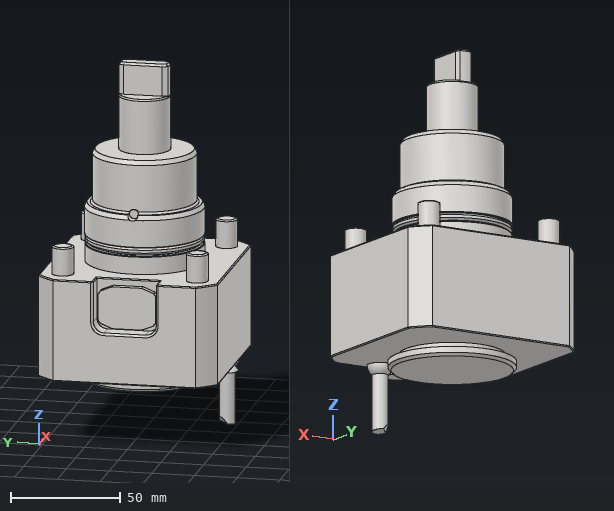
import cadquery as cq
import math

HOUSING_X = 90.0
HOUSING_Y = 84.0
HOUSING_Z = 48.0
CORNER_RADIUS = 56.0
EDGE_CHAMFER = 0.5

POCKET_WIDTH = 29.5
POCKET_FLOOR_Z = 24.0
POCKET_DEPTH = 8.7
POCKET_RADIUS = 5.0
POCKET_RIM_CHAMFER = 1.0

PAD_CENTER_Z = 34.9
PAD_THICKNESS = 3.1
PAD_HALF_WIDTH = 26.9 / 2
PAD_HALF_HEIGHT = 9.9
PAD_TOP_HALF_WIDTH = 7.0
PAD_SIDE_HALF_HEIGHT = 6.2
PAD_SHOULDER_Y = 12.5
PAD_SHOULDER_Z = 7.6

PIN_DIAMETER = 10.0
PIN_HEIGHT = 13.2
PIN_SPACING_X = 64.9
PIN_SPACING_Y = 63.0
PIN_CHAMFER_HEIGHT = 0.5
PIN_CHAMFER_RADIAL = 1.0

NECK_RADIUS = 50.0 / 2
LOWER_COLLAR_RADIUS = 55.0 / 2
LOWER_COLLAR_TOP = 56.5
COLLAR_EDGE_CHAMFER = 0.3
RING_RADIUS = LOWER_COLLAR_RADIUS
RING_BOTTOM = 57.0
RING_TOP = 60.5
RING_CHAMFER = 1.0
UPPER_COLLAR_RADIUS = 55.3 / 2
UPPER_COLLAR_BOTTOM = RING_TOP
UPPER_COLLAR_TOP = 75.6
UPPER_COLLAR_CHAMFER_HEIGHT = 2.0
UPPER_COLLAR_CHAMFER_RADIAL = 1.2
DRUM_RADIUS = 48.0 / 2
DRUM_FLARE_TOP = 76.7
DRUM_TOP = 100.8
DRUM_CHAMFER_HEIGHT = 2.0
DRUM_CHAMFER_RADIAL = 1.2
SHAFT_RADIUS = 24.0 / 2
SHAFT_TOP = 126.8
SHAFT_CHAMFER_HEIGHT = 0.9
SHAFT_CHAMFER_RADIAL = 0.3

INDEX_HOLE_DIAMETER = 4.5
INDEX_HOLE_Z = 75.5
INDEX_HOLE_END_RADIUS = 23.0

BLADE_THICKNESS = 8.0
BLADE_END_RADIUS = 11.8
BLADE_TOP = 141.7
BLADE_FLAT_HALF_LENGTH = 9.0
BLADE_CORNER_X = 1.0
BLADE_CORNER_Y = 2.5
BLADE_TOP_CHAMFER = 1.0

FLANGE_NECK_RADIUS = 49.0 / 2
FLANGE_RADIUS = 59.0 / 2
FLANGE_TOP = -3.1
FLANGE_BOTTOM = -7.3
FLANGE_CHAMFER = 1.4

CABLE_X = 17.0
CABLE_Y = -35.0
CABLE_RADIUS = 7.5 / 2
CABLE_BOTTOM = -31.8
CABLE_END_SLOPE = 0.15
CABLE_CUT_OFFSET = 2.0
CABLE_CUT_Z = -31.0
CABLE_CUT_SLOPE = 1.7
GROMMET_DIAMETER = 12.0

SCREW_X = 7.0
SCREW_NECK_RADIUS = 7.0 / 2
SCREW_HEAD_RADIUS = 12.0 / 2
SCREW_OVERHANG = 0.5
SCREW_Y = SCREW_HEAD_RADIUS - SCREW_OVERHANG - HOUSING_Y / 2
SCREW_NECK_BOTTOM = -0.7
SCREW_BOTTOM = -4.0

POCKET_OVERRUN = 3.5
OVERLAP = 1.7
TRIM_SIZE = 34.7


def turned(*profile):
    """Solid of revolution about Z from (radius, z) points, closed along the axis."""
    bottom = (0, profile[0][1])
    top = (0, profile[-1][1])
    outline = cq.Workplane("XZ").polyline([bottom, *profile, top]).close()
    return outline.revolve(360, (0, 0, 0), (0, 1, 0))


def make_housing():
    block = cq.Workplane("XY").box(HOUSING_X, HOUSING_Y, HOUSING_Z, centered=(True, True, False))
    corners = cq.Workplane("XY").circle(CORNER_RADIUS).extrude(HOUSING_Z)
    return block.intersect(corners).faces("<Z").chamfer(EDGE_CHAMFER)


def pocket_outline(growth):
    """Round-bottomed pocket outline on the -X face, grown outwards and open past the housing top."""
    bottom_z = POCKET_FLOOR_Z - growth
    half_width = POCKET_WIDTH / 2 + growth
    radius = POCKET_RADIUS + growth
    top_z = HOUSING_Z + POCKET_OVERRUN
    return (
        cq.Workplane("YZ", origin=(-HOUSING_X / 2, 0, 0))
        .moveTo(-half_width, top_z)
        .lineTo(-half_width, bottom_z + radius)
        .radiusArc((-half_width + radius, bottom_z), -radius)
        .lineTo(half_width - radius, bottom_z)
        .radiusArc((half_width, bottom_z + radius), -radius)
        .lineTo(half_width, top_z)
        .close()
    )


def cut_pocket(housing):
    housing = housing.cut(pocket_outline(0).extrude(POCKET_DEPTH))
    housing = housing.faces(">Z").chamfer(EDGE_CHAMFER)
    rim = pocket_outline(POCKET_RIM_CHAMFER).extrude(POCKET_RIM_CHAMFER, taper=45)
    return housing.cut(rim)


def make_pad():
    quarter = [
        (PAD_TOP_HALF_WIDTH, PAD_HALF_HEIGHT),
        (PAD_SHOULDER_Y, PAD_SHOULDER_Z),
        (PAD_HALF_WIDTH, PAD_SIDE_HALF_HEIGHT),
    ]
    right = quarter + [(y, -z) for y, z in reversed(quarter)]
    left = [(-y, -z) for y, z in right]
    back_x = -HOUSING_X / 2 + POCKET_DEPTH
    pad = cq.Workplane("YZ").polyline(right + left).close().extrude(PAD_THICKNESS + OVERLAP)
    return pad.translate((back_x - PAD_THICKNESS, 0, PAD_CENTER_Z))


def make_pins():
    z_top = HOUSING_Z + PIN_HEIGHT
    radius = PIN_DIAMETER / 2
    pin = turned(
        (radius, HOUSING_Z - OVERLAP),
        (radius, z_top - PIN_CHAMFER_HEIGHT),
        (radius - PIN_CHAMFER_RADIAL, z_top),
    )
    pins = cq.Workplane("XY")
    for side_x in (-1, 1):
        for side_y in (-1, 1):
            pins = pins.add(pin.translate((side_x * PIN_SPACING_X / 2, side_y * PIN_SPACING_Y / 2, 0)))
    return pins.combine()


def make_stack():
    """Collars, ring, drum and shaft above the housing as one turned body."""
    stack = turned(
        (LOWER_COLLAR_RADIUS, HOUSING_Z - OVERLAP),
        (LOWER_COLLAR_RADIUS, LOWER_COLLAR_TOP - COLLAR_EDGE_CHAMFER),
        (LOWER_COLLAR_RADIUS - COLLAR_EDGE_CHAMFER, LOWER_COLLAR_TOP),
        (NECK_RADIUS, LOWER_COLLAR_TOP),
        (NECK_RADIUS, RING_BOTTOM),
        (RING_RADIUS - RING_CHAMFER, RING_BOTTOM),
        (RING_RADIUS, RING_BOTTOM + RING_CHAMFER),
        (RING_RADIUS, RING_TOP - RING_CHAMFER),
        (RING_RADIUS - RING_CHAMFER, RING_TOP),
        (UPPER_COLLAR_RADIUS - COLLAR_EDGE_CHAMFER, UPPER_COLLAR_BOTTOM),
        (UPPER_COLLAR_RADIUS, UPPER_COLLAR_BOTTOM + COLLAR_EDGE_CHAMFER),
        (UPPER_COLLAR_RADIUS, UPPER_COLLAR_TOP - UPPER_COLLAR_CHAMFER_HEIGHT),
        (UPPER_COLLAR_RADIUS - UPPER_COLLAR_CHAMFER_RADIAL, UPPER_COLLAR_TOP),
        (NECK_RADIUS, UPPER_COLLAR_TOP),
        (DRUM_RADIUS, DRUM_FLARE_TOP),
        (DRUM_RADIUS, DRUM_TOP - DRUM_CHAMFER_HEIGHT),
        (DRUM_RADIUS - DRUM_CHAMFER_RADIAL, DRUM_TOP),
        (SHAFT_RADIUS, DRUM_TOP),
        (SHAFT_RADIUS, SHAFT_TOP - SHAFT_CHAMFER_HEIGHT),
        (SHAFT_RADIUS - SHAFT_CHAMFER_RADIAL, SHAFT_TOP),
    )
    index_hole = (
        cq.Workplane("YZ", origin=(-INDEX_HOLE_END_RADIUS, 0, INDEX_HOLE_Z))
        .circle(INDEX_HOLE_DIAMETER / 2)
        .extrude(-UPPER_COLLAR_RADIUS)
    )
    return stack.cut(index_hole)


def make_blade():
    """Flat blade with bevelled corners, round ends and a bevelled top."""
    half = BLADE_THICKNESS / 2
    bottom = SHAFT_TOP - OVERLAP
    end_y = BLADE_FLAT_HALF_LENGTH + BLADE_CORNER_Y
    end_x = half - BLADE_CORNER_X
    blade = (
        cq.Workplane("XY", origin=(0, 0, bottom))
        .moveTo(half, -BLADE_FLAT_HALF_LENGTH)
        .lineTo(half, BLADE_FLAT_HALF_LENGTH)
        .lineTo(end_x, end_y)
        .threePointArc((0, BLADE_END_RADIUS), (-end_x, end_y))
        .lineTo(-half, BLADE_FLAT_HALF_LENGTH)
        .lineTo(-half, -BLADE_FLAT_HALF_LENGTH)
        .lineTo(-end_x, -end_y)
        .threePointArc((0, -BLADE_END_RADIUS), (end_x, -end_y))
        .close()
        .extrude(BLADE_TOP - bottom)
    )
    return blade.faces(">Z").chamfer(BLADE_TOP_CHAMFER)


def make_flange():
    return turned(
        (FLANGE_RADIUS - FLANGE_CHAMFER, FLANGE_BOTTOM),
        (FLANGE_RADIUS, FLANGE_BOTTOM + FLANGE_CHAMFER),
        (FLANGE_RADIUS, FLANGE_TOP),
        (FLANGE_NECK_RADIUS, FLANGE_TOP),
        (FLANGE_NECK_RADIUS, OVERLAP),
    )


def beyond_plane(origin, outward):
    """Block that fills the space just beyond a plane given by a point and its outward normal."""
    plane = cq.Plane(origin=origin, normal=outward)
    return cq.Workplane(plane).rect(TRIM_SIZE, TRIM_SIZE).extrude(TRIM_SIZE)


def make_cable():
    """Cable with a slightly slanted end, cut off steeply on its (-X, +Y) side."""
    cable = turned((CABLE_RADIUS, CABLE_BOTTOM), (CABLE_RADIUS, OVERLAP))
    slanted_end = beyond_plane((0, -CABLE_RADIUS, CABLE_BOTTOM), (0, CABLE_END_SLOPE, -1))
    reach = CABLE_CUT_OFFSET / math.sqrt(2)
    steepness = CABLE_CUT_SLOPE / math.sqrt(2)
    side_cut = beyond_plane((-reach, reach, CABLE_CUT_Z), (-steepness, steepness, -1))
    cable = cable.cut(slanted_end).cut(side_cut)
    grommet = cq.Workplane("XY").sphere(GROMMET_DIAMETER / 2)
    return cable.union(grommet).translate((CABLE_X, CABLE_Y, 0))


def make_screw():
    screw = turned(
        (SCREW_HEAD_RADIUS, SCREW_BOTTOM),
        (SCREW_NECK_RADIUS, SCREW_NECK_BOTTOM),
        (SCREW_NECK_RADIUS, OVERLAP),
    )
    return screw.translate((SCREW_X, SCREW_Y, 0))


result = (
    cut_pocket(make_housing())
    .union(make_pad())
    .union(make_pins())
    .union(make_stack())
    .union(make_blade())
    .union(make_flange())
    .union(make_cable())
    .union(make_screw())
)